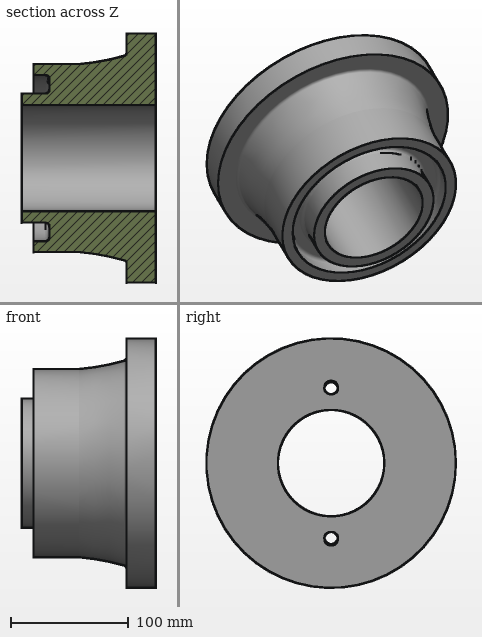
import cadquery as cq
import math

hub_projection = 10.0
collar_length = 39.0
flare_length = 38.2
total_length = 114.0

bore_diameter = 90.0
hub_diameter = 110.0
groove_diameter = 141.0
collar_diameter = 160.0
flare_end_diameter = 174.0
flange_diameter = 212.0

flare_radius = 200.0
flange_fillet = 2.5

groove_depth = 13.5
groove_fillet = 3.4
hole_diameter = 11.5
hole_outward_drift = 1.5

hub_radius = hub_diameter / 2
groove_radius = groove_diameter / 2
collar_radius = collar_diameter / 2
flare_end_radius = flare_end_diameter / 2
flange_radius = flange_diameter / 2

collar_end = hub_projection + collar_length


def flare_slope_angle():
    """Angle between the X axis and the flare tangent at its wide end."""
    rise = flare_end_radius - collar_radius
    chord = math.hypot(flare_length, rise)
    return math.atan2(rise, flare_length) + math.asin(chord / (2 * flare_radius))


def make_body():
    """Revolve the outer profile: hub core, collar, concave flare and flange."""
    slope = flare_slope_angle()
    fillet_top = flare_end_radius + flange_fillet * math.cos(slope)
    flare_end = collar_end + flare_length
    fillet_length = flange_fillet * (1 - math.sin(slope))
    flange_face = flare_end + fillet_length
    profile = (
        cq.Workplane("XY")
        .moveTo(0, 0)
        .lineTo(0, hub_radius)
        .lineTo(hub_projection, hub_radius)
        .lineTo(hub_projection, collar_radius)
        .lineTo(collar_end, collar_radius)
        .radiusArc((flare_end, flare_end_radius), -flare_radius)
        .radiusArc((flange_face, fillet_top), -flange_fillet)
        .lineTo(flange_face, flange_radius)
        .lineTo(total_length, flange_radius)
        .lineTo(total_length, 0)
        .close()
    )
    return profile.revolve(360, (0, 0, 0), (1, 0, 0))


def make_groove():
    """Ring-shaped cutter with rounded edges at the groove floor."""
    ring = (
        cq.Workplane("YZ", origin=(hub_projection, 0, 0))
        .circle(groove_radius)
        .circle(hub_radius)
        .extrude(groove_depth)
    )
    return ring.faces(">X").edges().fillet(groove_fillet)


def make_bore():
    """Cylinder cutter along the X axis."""
    return cq.Workplane("YZ").circle(bore_diameter / 2).extrude(total_length)


def make_groove_hole(side):
    """Hole from mid-groove to the back, leaning away from the axis; side is +1 (up) or -1 (down)."""
    start_offset = (hub_radius + groove_radius) / 2
    start = cq.Vector(hub_projection, 0, side * start_offset)
    direction = cq.Vector(total_length - hub_projection, 0, side * hole_outward_drift)
    return cq.Solid.makeCylinder(hole_diameter / 2, total_length, start, direction)


result = make_body().cut(make_groove()).cut(make_bore())
for side in (1, -1):
    result = result.cut(cq.Workplane(make_groove_hole(side)))